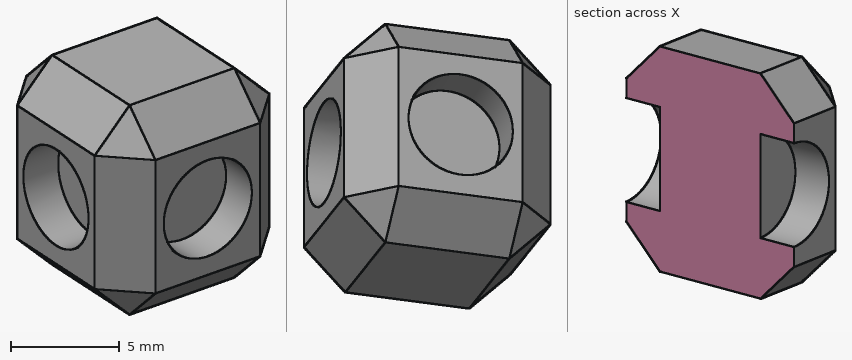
import cadquery as cq

width = 10.0
height = 11.0
edge_chamfer = 2.0
pocket_diameter = 5.05
pocket_depth = 2.0
side_count = 4


def chamfered_block():
    """Square block centred on the origin, every edge chamfered equally."""
    return cq.Workplane("XY").box(width, width, height).edges().chamfer(edge_chamfer)


def side_pocket(angle):
    """Round blind pocket entering the -Y face, turned about Z by the angle."""
    pocket = (
        cq.Workplane("XZ", origin=(0, -width / 2, 0))
        .circle(pocket_diameter / 2)
        .extrude(-pocket_depth)
    )
    return pocket.rotate((0, 0, 0), (0, 0, 1), angle)


result = chamfered_block()

for side in range(side_count):
    result = result.cut(side_pocket(side * 360 / side_count))